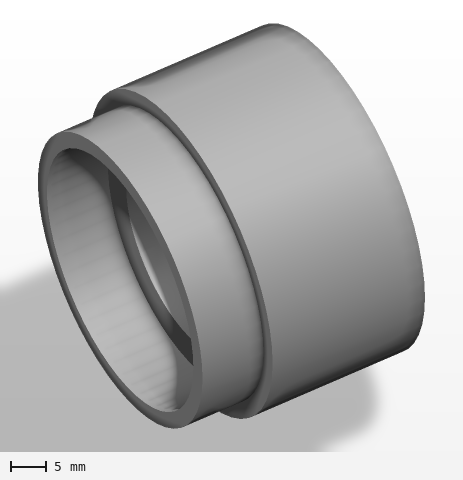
import cadquery as cq

body_diameter = 50.0
body_length = 25.0
wall_step = 2.5
spigot_length = 10.0
bore_depth = 10.0
dome_radius = 15.0

spigot_radius = body_diameter / 2 - wall_step
bore_radius = spigot_radius - wall_step


def cylinder_along_y(radius, start_y, length):
    """Solid cylinder running from start_y towards +Y."""
    return cq.Workplane("XZ", origin=(0, start_y, 0)).circle(radius).extrude(-length)


spigot = cylinder_along_y(spigot_radius, 0, spigot_length)
body = cylinder_along_y(body_diameter / 2, spigot_length, body_length)

bore = cylinder_along_y(bore_radius, 0, bore_depth)
hollow = cq.Workplane("XY", origin=(0, bore_depth, 0)).sphere(dome_radius)

result = spigot.union(body).cut(bore).cut(hollow)